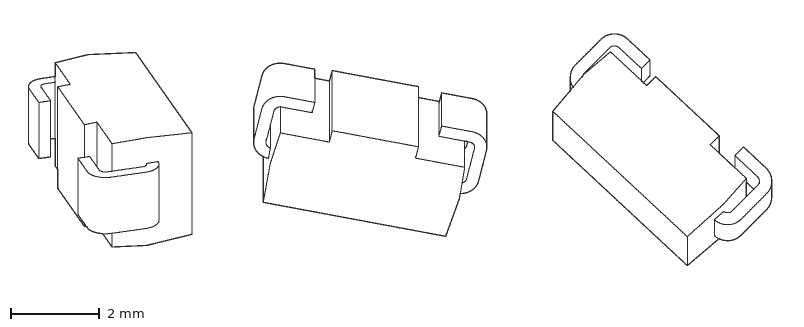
import cadquery as cq
import math

overall_length = 5.2
overall_depth = 2.5
front_y = -overall_depth / 2
back_y = overall_depth / 2

lead_thickness = 0.28
lead_width = 1.425
lead_depth = 1.68
foot_length = 1.135
bend_outer_radius = 0.425
bend_inner_radius = bend_outer_radius - lead_thickness

housing_length = 4.38
housing_height = 2.73
draft_angle = 4.0
pad_length = 1.995
pad_standoff = 0.3
shoulder_standoff = 0.6
parting_y = front_y + lead_depth - lead_thickness
pad_y = front_y + pad_standoff
shoulder_y = front_y + shoulder_standoff


def housing_half(end_y):
    """Drafted half of the housing, from the parting plane to end_y."""
    outward_y = math.copysign(1, end_y - parting_y)
    plane = cq.Plane(origin=(0, parting_y, 0), xDir=(1, 0, 0), normal=(0, outward_y, 0))
    return (
        cq.Workplane(plane)
        .rect(housing_length, housing_height)
        .extrude(abs(end_y - parting_y), taper=draft_angle)
    )


def shoulder_cut(side):
    """Clearance over the foot, beside the central pad, at the end given by side (-1 or 1)."""
    length = (housing_length - pad_length) / 2
    depth = shoulder_y - pad_y
    center_x = side * (pad_length + length) / 2
    return cq.Workplane("XY").box(length, depth, housing_height).translate(
        (center_x, (pad_y + shoulder_y) / 2, 0)
    )


def make_housing():
    body = housing_half(back_y).union(housing_half(pad_y))
    for side in (-1, 1):
        body = body.cut(shoulder_cut(side))
    return body


def c_block(inset, radius, end_x):
    """Solid bounded by one face of the strip, rounded at both bends, open end at end_x."""
    start_x = -overall_length / 2 + inset
    length = end_x - start_x
    depth = lead_depth - 2 * inset
    center = (start_x + length / 2, front_y + lead_depth / 2, 0)
    return (
        cq.Workplane("XY")
        .box(length, depth, lead_width)
        .edges("|Z and <X")
        .fillet(radius)
        .translate(center)
    )


def make_lead(side, housing):
    """C-shaped lead whose upper arm butts against the drafted end wall of the housing."""
    foot_end_x = -overall_length / 2 + foot_length
    strip = c_block(0, bend_outer_radius, foot_end_x).cut(
        c_block(lead_thickness, bend_inner_radius, foot_end_x)
    )
    if side > 0:
        strip = strip.mirror("YZ")
    return strip.cut(housing)


housing = make_housing()
leads = [make_lead(side, housing) for side in (-1, 1)]

result = cq.Compound.makeCompound([housing.solids().val(), *[lead.solids().val() for lead in leads]])